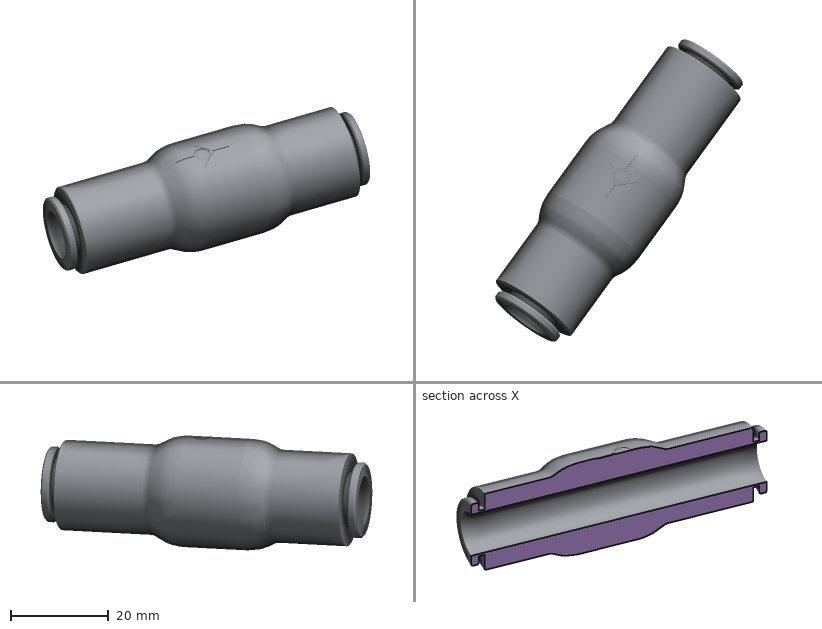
import cadquery as cq
import math

length = 66.05
end_y = length / 2
bulge_radius = 22.8 / 2
bore_radius = 5.0

back_radius = 9.5
front_radius = 9.25
sleeve_end = 30.0
front_sleeve_chamfer = 0.2

back_dome_start = 9.25
back_inflection = 14.25
back_blend_end = 15.8
front_dome_start = -4.1
front_inflection = -9.65
front_blend_end = -11.2

collar_radius = 7.7
collar_thickness = 1.7
collar_chamfer = 0.3
neck_radius = 5.7

mark_depth = 0.2
stem_width = 0.25
arm_width = 0.1
stem_back = 4.95
arrow_tip = 1.6
stem_front = -6.75
arm_reach = 3.25
ball_y = -0.9
ball_radius = 1.65


def revolve_about_y(profile):
    return profile.close().revolve(360, (0, 0, 0), (0, 1, 0))


def make_body():
    """Bulge and sleeves, with each blend made of two tangent arcs."""

    def on_chord(dome_start, inflection, blend_end, sleeve_radius):
        fraction = (inflection - dome_start) / (blend_end - dome_start)
        return bulge_radius + fraction * (sleeve_radius - bulge_radius), inflection

    front_meeting = on_chord(front_dome_start, front_inflection, front_blend_end, front_radius)
    back_meeting = on_chord(back_dome_start, back_inflection, back_blend_end, back_radius)
    profile = (
        cq.Workplane("XY")
        .moveTo(0, -sleeve_end)
        .lineTo(front_radius - front_sleeve_chamfer, -sleeve_end)
        .lineTo(front_radius, -sleeve_end + front_sleeve_chamfer)
        .lineTo(front_radius, front_blend_end)
        .tangentArcPoint(front_meeting, relative=False)
        .tangentArcPoint((bulge_radius, front_dome_start), relative=False)
        .lineTo(bulge_radius, back_dome_start)
        .tangentArcPoint(back_meeting, relative=False)
        .tangentArcPoint((back_radius, back_blend_end), relative=False)
        .lineTo(back_radius, sleeve_end)
        .lineTo(0, sleeve_end)
    )
    return revolve_about_y(profile)


def make_collar():
    """Neck and chamfered collar at the back end."""
    inner_y = end_y - collar_thickness
    profile = (
        cq.Workplane("XY")
        .moveTo(0, back_blend_end)
        .lineTo(neck_radius, back_blend_end)
        .lineTo(neck_radius, inner_y)
        .lineTo(collar_radius - collar_chamfer, inner_y)
        .lineTo(collar_radius, inner_y + collar_chamfer)
        .lineTo(collar_radius, end_y - collar_chamfer)
        .lineTo(collar_radius - collar_chamfer, end_y)
        .lineTo(0, end_y)
    )
    return revolve_about_y(profile)


def make_symbol():
    """Upright prism of the ball, the split stem and the two arrow arms."""
    plane = cq.Workplane("XY")

    def stroke(start, end, width):
        dx = end[0] - start[0]
        dy = end[1] - start[1]
        return (
            plane.center((start[0] + end[0]) / 2, (start[1] + end[1]) / 2)
            .transformed(rotate=(0, 0, math.degrees(math.atan2(dy, dx))))
            .rect(math.hypot(dx, dy), width)
            .extrude(bulge_radius)
        )

    tip = (0, arrow_tip)
    cutter = plane.center(0, ball_y).circle(ball_radius).extrude(bulge_radius)
    cutter = cutter.union(stroke((0, stem_back), tip, stem_width))
    cutter = cutter.union(stroke((0, ball_y), (0, stem_front), stem_width))
    for side in (-1, 1):
        arm_end = (side * arm_reach, arrow_tip - arm_reach)
        cutter = cutter.union(stroke(tip, arm_end, arm_width))
    return cutter


body = make_body()
symbol = make_symbol().cut(body.translate((0, 0, -mark_depth)))
back_collar = make_collar()
front_collar = back_collar.mirror("XZ")
bore = cq.Workplane("XZ").circle(bore_radius).extrude(end_y, both=True)
result = body.cut(symbol).union(back_collar).union(front_collar).cut(bore)